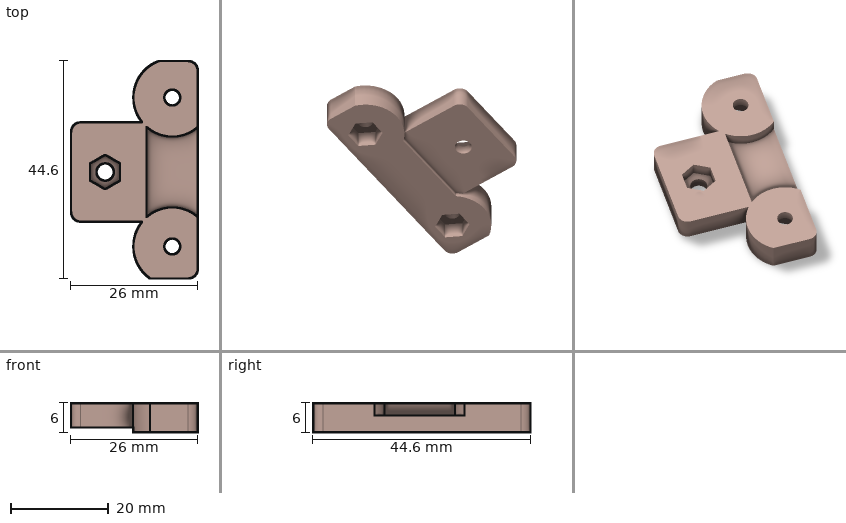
import cadquery as cq

total_width = 26.0
total_length = 44.58
total_height = 6.0
corner_radius = 2.0

lobe_radius = 8.0
lobe_hole_diameter = 3.2
lobe_hole_spacing = 30.5
upper_end_offset = 7.5
lobe_x = 20.75
lobe_roof_thickness = 2.0

plate_length = 20.4
plate_thickness = 5.0
plate_hole_x = 7.0
plate_hole_diameter = 3.5
plate_nut_pocket_depth = 2.8

nut_corner_diameter = 7.05

web_width = 10.5
web_thickness = 3.5

lobe_roof_z = total_height - lobe_roof_thickness
plate_nut_floor_z = total_height - plate_nut_pocket_depth
plate_bottom = total_height - plate_thickness
web_x = total_width - web_width
upper_lobe_y = lobe_hole_spacing / 2
lower_lobe_y = -lobe_hole_spacing / 2
upper_end_y = upper_lobe_y + upper_end_offset
lower_end_y = upper_end_y - total_length


def block(x_min, x_max, y_min, y_max, z_min, z_max):
    """Axis-aligned box between the given limits."""
    size = (x_max - x_min, y_max - y_min, z_max - z_min)
    return cq.Workplane("XY").box(*size, centered=False).translate((x_min, y_min, z_min))


def lobes():
    """Both round lobes with square outer corners, trimmed flat and rounded at the +X edge."""
    centres = [(lobe_x, upper_lobe_y), (lobe_x, lower_lobe_y)]
    discs = cq.Workplane("XY").pushPoints(centres).circle(lobe_radius).extrude(total_height)
    upper_corner = block(lobe_x, total_width, upper_lobe_y, upper_end_y, 0, total_height)
    lower_corner = block(lobe_x, total_width, lower_end_y, lower_lobe_y, 0, total_height)
    envelope = block(0, total_width, lower_end_y, upper_end_y, 0, total_height)
    envelope = envelope.edges("|Z and >X").fillet(corner_radius)
    return discs.union(upper_corner).union(lower_corner).intersect(envelope)


def plate():
    """Raised plate with two rounded corners on its free edge."""
    half_length = plate_length / 2
    body = block(0, web_x, -half_length, half_length, plate_bottom, total_height)
    return body.edges("|Z and <X").fillet(corner_radius)


def web():
    """Low strip running from lobe to lobe."""
    return block(web_x, total_width, lower_lobe_y, upper_lobe_y, 0, web_thickness)


def round_hole(x, y, diameter):
    """Cutter for a vertical hole through the whole part."""
    return cq.Workplane("XY").center(x, y).circle(diameter / 2).extrude(total_height)


def nut_pocket(x, y, z_min, z_max):
    """Hexagonal cutter between two heights, with two corners pointing along Y."""
    return (
        cq.Workplane("XY")
        .polygon(6, nut_corner_diameter)
        .extrude(z_max - z_min)
        .rotate((0, 0, 0), (0, 0, 1), 90)
        .translate((x, y, z_min))
    )


result = lobes().union(plate()).union(web())

result = result.cut(nut_pocket(plate_hole_x, 0, plate_nut_floor_z, total_height))
result = result.cut(round_hole(plate_hole_x, 0, plate_hole_diameter))

for lobe_y in (upper_lobe_y, lower_lobe_y):
    result = result.cut(nut_pocket(lobe_x, lobe_y, 0, lobe_roof_z))
    result = result.cut(round_hole(lobe_x, lobe_y, lobe_hole_diameter))